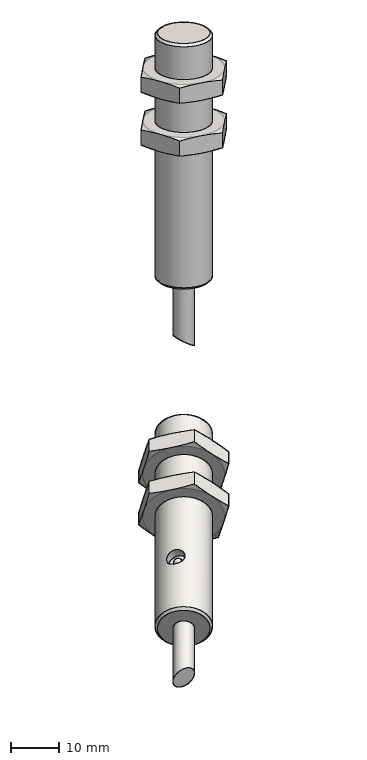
import cadquery as cq
import math

total_height = 71.25

housing_diameter = 12.0
housing_length = 55.95
housing_end_diameter = 10.9
housing_chamfer = (housing_diameter - housing_end_diameter) / 2
housing_top = total_height
housing_bottom = housing_top - housing_length

cable_diameter = 4.5
cable_cut_angle = 30.0

window_diameter = 4.0
window_depth = 2.0
window_below_top = 40.9
window_height = housing_top - window_below_top
window_floor_x = window_depth - housing_diameter / 2
lamp_diameter = window_diameter / 2

nut_across_flats = 16.995
nut_thickness = 4.0
nut_chamfer_drop = 0.3
upper_nut_below_top = 8.0
nut_pitch = 12.05
nut_count = 2


def make_cable():
    """Round cable whose lower end is cut off by a slanted plane."""
    radius = cable_diameter / 2
    cut_rise = cable_diameter * math.tan(math.radians(cable_cut_angle))
    cable = cq.Workplane("XY").circle(radius).extrude(housing_bottom)
    waste = (
        cq.Workplane("YZ")
        .polyline([(radius, 0), (-radius, 0), (-radius, cut_rise)])
        .close()
        .extrude(radius, both=True)
    )
    return cable.cut(waste)


def make_window_cutter():
    """Blind hole that opens through the -X side of the housing."""
    return (
        cq.Workplane("YZ", origin=(window_floor_x, 0, window_height))
        .circle(window_diameter / 2)
        .extrude(-housing_diameter / 2)
    )


def make_lamp():
    """Ball centred on the window floor, so that half of it shows as a dome."""
    return cq.Workplane("XY", origin=(window_floor_x, 0, window_height)).sphere(lamp_diameter / 2)


def make_sensor():
    """Chamfered housing with its indicator window and cable."""
    housing = (
        cq.Workplane("XY", origin=(0, 0, housing_bottom))
        .circle(housing_diameter / 2)
        .extrude(housing_length)
        .faces("<Z or >Z")
        .chamfer(housing_chamfer)
    )
    return housing.cut(make_window_cutter()).union(make_lamp()).union(make_cable())


def make_nut(top):
    """Hexagon nut with flats facing +X and -X and its corners chamfered at both ends."""
    across_corners = nut_across_flats / math.cos(math.radians(30))
    corner_radius = across_corners / 2
    flat_radius = nut_across_flats / 2
    plane = cq.Workplane("XY", origin=(0, 0, top - nut_thickness))
    hexagon = plane.transformed(rotate=(0, 0, 90)).polygon(6, across_corners).extrude(nut_thickness)
    chamfer_envelope = (
        plane.circle(corner_radius)
        .extrude(nut_thickness)
        .faces("<Z or >Z")
        .chamfer(nut_chamfer_drop, corner_radius - flat_radius)
    )
    bore = plane.circle(housing_diameter / 2).extrude(nut_thickness)
    return hexagon.intersect(chamfer_envelope).cut(bore)


sensor = make_sensor()
upper_nut_top = housing_top - upper_nut_below_top
nuts = [make_nut(upper_nut_top - index * nut_pitch) for index in range(nut_count)]

result = cq.Compound.makeCompound([sensor.val(), *[nut.val() for nut in nuts]])